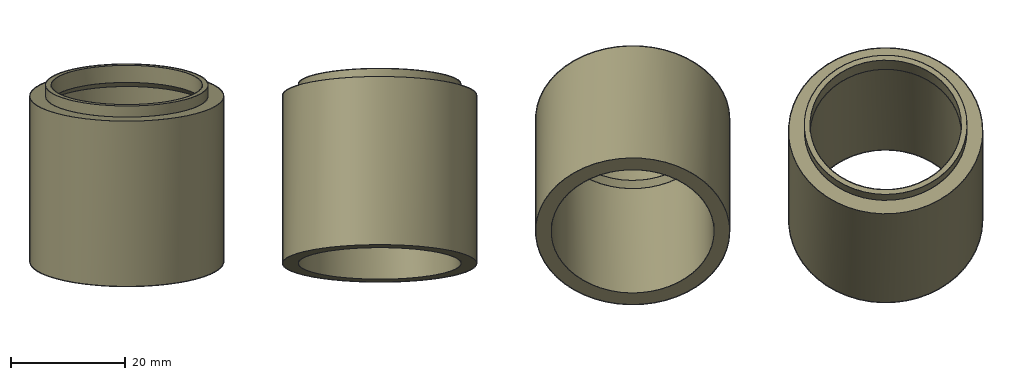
import cadquery as cq

body_diameter = 34.0
total_height = 32.0

lip_diameter = 28.5
lip_height = 2.0
body_height = total_height - lip_height

mouth_diameter = 26.5
mouth_depth = 3.1
cone_size = 1.02
mouth_bottom = total_height - mouth_depth
cone_bottom = mouth_bottom - cone_size

mouth_radius = mouth_diameter / 2
bore_radius = mouth_radius + cone_size

body = cq.Workplane("XY").circle(body_diameter / 2).extrude(body_height)
lip = cq.Workplane("XY").circle(lip_diameter / 2).extrude(total_height)

hollow = (
    cq.Workplane("XZ")
    .moveTo(0, 0)
    .lineTo(bore_radius, 0)
    .lineTo(bore_radius, cone_bottom)
    .lineTo(mouth_radius, mouth_bottom)
    .lineTo(mouth_radius, total_height)
    .lineTo(0, total_height)
    .close()
    .revolve(360, (0, 0, 0), (0, 1, 0))
)

result = body.union(lip).cut(hollow)